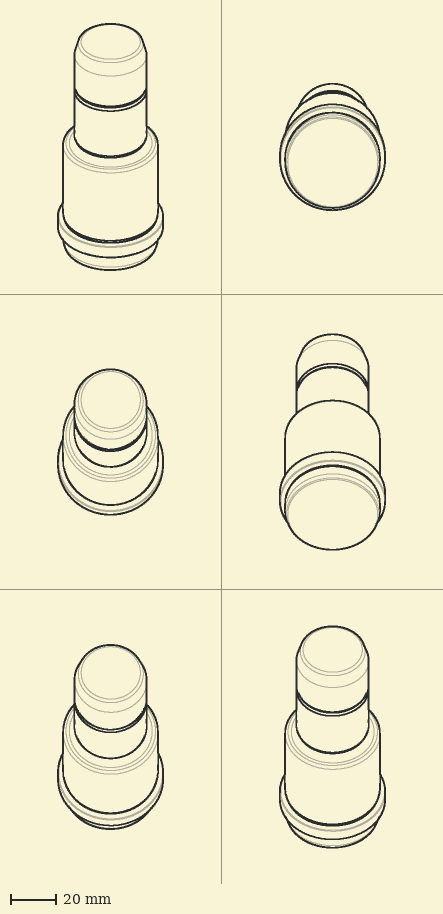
import cadquery as cq
import math

height = 110.0
taper_angle = math.radians(15)

body_radius = 21.0
body_top = 55.0
body_edge_fillet = 1.2
flange_radius = 23.3
flange_bottom = 9.0
flange_top = 15.2
flange_edge_fillet = 0.3
neck_depth = 0.4
neck_taper_length = 1.3
upper_neck_land = 0.2
foot_taper_length = 2.5
foot_edge_fillet = 0.5

shank_diameter = 32.0
tip_taper_length = 7.0
tip_fillet = 1.3
groove_center = 85.0
groove_half_width = 1.3
groove_depth = 0.7
shoulder_fillet = 2.9
relief_length = 1.3
relief_depth = 0.5

shank_radius = shank_diameter / 2
neck_radius = body_radius - neck_depth
foot_radius = body_radius - foot_taper_length * math.tan(taper_angle)
tip_radius = shank_radius - tip_taper_length * math.tan(taper_angle)
relief_radius = shank_radius - relief_depth
upper_taper_start = flange_top + upper_neck_land
relief_bottom = body_top + shoulder_fillet
arc_offset = shoulder_fillet * (1 - math.sqrt(0.5))


def revolve_profile(profile):
    """Turn a closed radius/height profile about the Z axis."""
    return profile.close().revolve(360, (0, 0, 0), (0, 1, 0))


def make_body():
    """Main cylinder with a tapered foot and a neck on each side of the flange."""
    body = revolve_profile(
        cq.Workplane("XZ")
        .lineTo(foot_radius, 0)
        .lineTo(body_radius, foot_taper_length)
        .lineTo(body_radius, flange_bottom - neck_taper_length)
        .lineTo(neck_radius, flange_bottom)
        .lineTo(neck_radius, upper_taper_start)
        .lineTo(body_radius, upper_taper_start + neck_taper_length)
        .lineTo(body_radius, body_top)
        .lineTo(0, body_top)
    )
    body = body.faces("<Z").edges().fillet(foot_edge_fillet)
    return body.faces(">Z").edges().fillet(body_edge_fillet)


def make_flange():
    """Retaining flange with both rims rounded."""
    flange = (
        cq.Workplane("XY")
        .workplane(offset=flange_bottom)
        .circle(flange_radius)
        .extrude(flange_top - flange_bottom)
    )
    return flange.faces("<Z or >Z").edges().fillet(flange_edge_fillet)


def make_shank():
    """Shank with a concave shoulder, relief, V groove and rounded tapered tip."""
    shank = revolve_profile(
        cq.Workplane("XZ")
        .moveTo(0, body_top)
        .lineTo(relief_radius + shoulder_fillet, body_top)
        .threePointArc(
            (relief_radius + arc_offset, body_top + arc_offset),
            (relief_radius, relief_bottom),
        )
        .lineTo(shank_radius, relief_bottom + relief_length)
        .lineTo(shank_radius, groove_center - groove_half_width)
        .lineTo(shank_radius - groove_depth, groove_center)
        .lineTo(shank_radius, groove_center + groove_half_width)
        .lineTo(shank_radius, height - tip_taper_length)
        .lineTo(tip_radius, height)
        .lineTo(0, height)
    )
    return shank.faces(">Z").edges().fillet(tip_fillet)


result = make_body().union(make_flange()).union(make_shank())